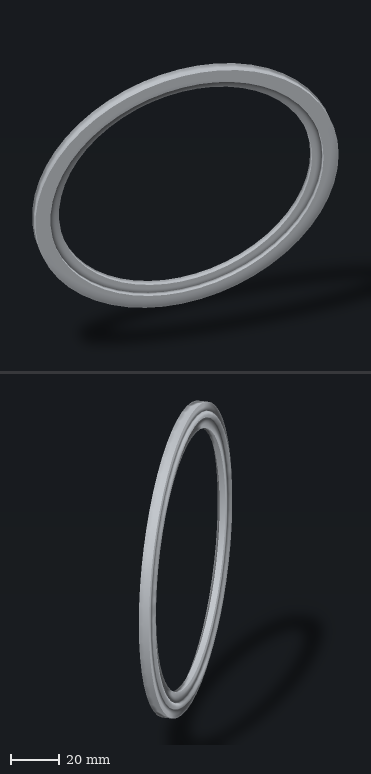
import cadquery as cq

outer_radius = 66.0
bore_radius = 55.0
plate_thickness = 4.4

bead_radius = 1.5
bead_centre_radius = 60.9
bead_outer_radius = bead_centre_radius + bead_radius
bead_inner_radius = bead_centre_radius - bead_radius

front_rise = 0.09
back_recess = 2.0

overall_width = plate_thickness + bead_radius
face_x = bead_radius - overall_width / 2
back_x = overall_width / 2
lip_back_x = back_x - back_recess


def ring_profile():
    """Half section in the XY plane, with Y as the distance from the axis."""
    return (
        cq.Workplane("XY")
        .moveTo(lip_back_x, bore_radius)
        .lineTo(lip_back_x, bead_inner_radius)
        .lineTo(back_x, bead_inner_radius)
        .lineTo(back_x, outer_radius)
        .lineTo(face_x, outer_radius)
        .lineTo(face_x, bead_outer_radius)
        .threePointArc(
            (face_x - bead_radius, bead_centre_radius),
            (face_x, bead_inner_radius),
        )
        .lineTo(face_x - front_rise, bore_radius)
        .close()
    )


result = ring_profile().revolve(360, (0, 0, 0), (1, 0, 0))